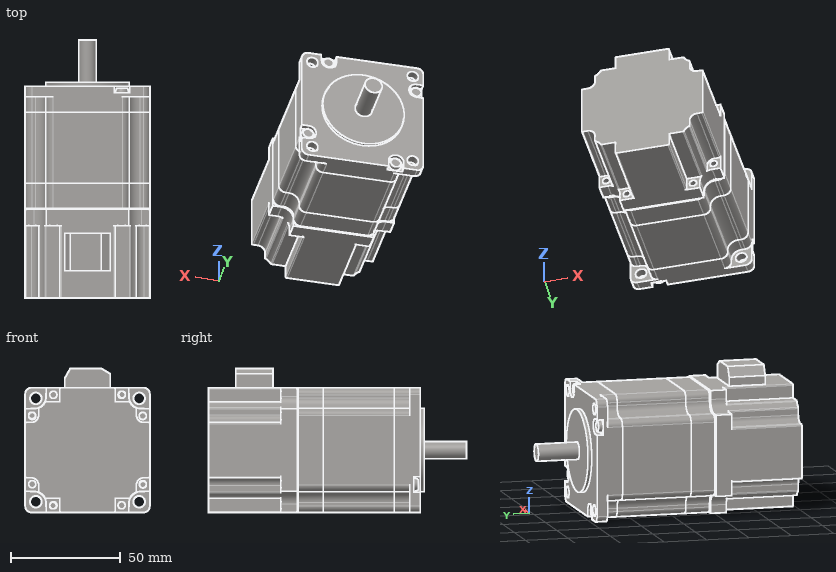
import cadquery as cq
import math


OVERALL_LENGTH = 117.7
HALF_WIDTH = 28.5
CORNER_RADIUS = 3.1
CUT_MARGIN = 2.4

SHAFT_TIP_Y = 21.1
PILOT_Y = 1.8
PLATE_REAR_Y = -5.0
FRONT_CAP_REAR_Y = -12.0
STACK_REAR_Y = -44.4
REAR_CAP_REAR_Y = -56.1
COVER_STEP_Y = -63.5
COVER_REAR_Y = SHAFT_TIP_Y - OVERALL_LENGTH

SHAFT_RADIUS = 4.0
PILOT_RADIUS = 19.1
MOUNT_HOLE_OFFSET = 23.5
MOUNT_HOLE_RADIUS = 2.6

RELIEF_WALL = 19.0
RELIEF_ROUND = 3.2
RELIEF_COVE_RADIUS = 4.8
REAR_CAP_CHAMFER = 0.6

SCREW_ALONG = RELIEF_WALL - RELIEF_ROUND
SCREW_OUT = HALF_WIDTH - RELIEF_ROUND
SCREW_COUNT = 4
SCREW_RADIUS = 1.5
SCREW_HEAD_RADIUS = 3.0
SCREW_HEAD_HEIGHT = 2.0
SCREW_FACE_RADIUS = 2.4
SCREW_DOME_RADIUS = 3.5
SCREW_SLOT_RADIUS = 3.5
SCREW_SLOT_DEPTH = 3.0

COVER_WALL = 18.8
COVER_COVE_RADIUS = 5.6
POCKET_INNER = 12.6
TOP_POCKET_FLOOR = 22.0
SIDE_POCKET_WALL = 22.2
SIDE_POCKET_ROUND = 3.4
COVER_EDGE_ROUND = 0.6
COVER_HOLE_ALONG = 15.5
COVER_HOLE_OUT = 25.2
COVER_HOLE_RADIUS = 1.6

CONNECTOR_HALF_WIDTH = 10.5
CONNECTOR_TOP_Z = 37.2
CONNECTOR_FRONT_Y = -67.1
CONNECTOR_REAR_Y = -84.2
CONNECTOR_LEFT_SHOULDER_Z = 32.6
CONNECTOR_LEFT_TOP_X = -7.9
CONNECTOR_RIGHT_SHOULDER_Z = 34.7
CONNECTOR_RIGHT_TOP_X = 6.4


def section(front_y):
    """Sketch plane across the shaft at front_y: local x is X, local y is Z, extruding to -Y."""
    return cq.Workplane("XZ", origin=(0, front_y, 0))


def block(front_y, rear_y):
    """Full square section between two positions along Y."""
    width = 2 * HALF_WIDTH
    return section(front_y).rect(width, width).extrude(front_y - rear_y)


def cylinder(radius, front_y, rear_y, x=0, z=0):
    """Round bar parallel to the shaft."""
    return section(front_y).center(x, z).circle(radius).extrude(front_y - rear_y)


def cut_all(body, cutters):
    for cutter in cutters:
        body = body.cut(cutter)
    return body


def in_four_corners(shape):
    """The shape in the +X +Z corner and its mirror images in the other three."""
    right_pair = [shape, shape.mirror("XY")]
    return right_pair + [half.mirror("YZ") for half in right_pair]


def in_four_turns(shape):
    """The shape repeated every quarter turn about the shaft."""
    return [shape.rotate((0, 0, 0), (0, 1, 0), turn * 360 / SCREW_COUNT) for turn in range(SCREW_COUNT)]


def motor_reliefs(front_y, rear_y):
    """Corner cut-aways of the motor: a cove between two convex roundings."""
    cove_centre = RELIEF_WALL + RELIEF_COVE_RADIUS
    round_mid = RELIEF_ROUND * math.sqrt(0.5)
    cove_mid = cove_centre - RELIEF_COVE_RADIUS * math.sqrt(0.5)
    outside = HALF_WIDTH + CUT_MARGIN
    relief = (
        section(front_y)
        .moveTo(SCREW_ALONG, HALF_WIDTH)
        .threePointArc((SCREW_ALONG + round_mid, SCREW_OUT + round_mid), (RELIEF_WALL, SCREW_OUT))
        .lineTo(RELIEF_WALL, cove_centre)
        .threePointArc((cove_mid, cove_mid), (cove_centre, RELIEF_WALL))
        .lineTo(SCREW_OUT, RELIEF_WALL)
        .threePointArc((SCREW_OUT + round_mid, SCREW_ALONG + round_mid), (HALF_WIDTH, SCREW_ALONG))
        .lineTo(outside, SCREW_ALONG)
        .lineTo(outside, outside)
        .lineTo(SCREW_ALONG, outside)
        .close()
        .extrude(front_y - rear_y)
    )
    return in_four_corners(relief)


def screw_bores():
    """Holes for the screw shanks through the whole motor."""
    return in_four_turns(cylinder(SCREW_RADIUS, 0, REAR_CAP_REAR_Y, SCREW_ALONG, SCREW_OUT))


def screw_slots():
    """Round-bottomed recesses for the screw heads, open to the front and to one side."""
    slot = cylinder(SCREW_SLOT_RADIUS, 0, -SCREW_SLOT_DEPTH, SCREW_ALONG, SCREW_OUT).union(
        section(0)
        .center(SCREW_ALONG, SCREW_OUT + HALF_WIDTH / 2)
        .rect(2 * SCREW_SLOT_RADIUS, HALF_WIDTH)
        .extrude(SCREW_SLOT_DEPTH)
    )
    return in_four_turns(slot)


def make_front_cap():
    """Front cap with the mounting plate, centring pilot and shaft bore."""
    cap = block(0, FRONT_CAP_REAR_Y).edges("|Y").fillet(CORNER_RADIUS)
    cap = cut_all(cap, motor_reliefs(PLATE_REAR_Y, FRONT_CAP_REAR_Y))
    cap = cap.union(cylinder(PILOT_RADIUS, PILOT_Y, PLATE_REAR_Y))
    mount_hole = cylinder(MOUNT_HOLE_RADIUS, 0, PLATE_REAR_Y, MOUNT_HOLE_OFFSET, MOUNT_HOLE_OFFSET)
    cap = cut_all(cap, in_four_corners(mount_hole))
    cap = cut_all(cap, screw_slots() + screw_bores())
    return cap.cut(cylinder(SHAFT_RADIUS, PILOT_Y, FRONT_CAP_REAR_Y))


def make_stack_with_shaft():
    """Lamination stack, in one piece with the shaft that runs out through the front cap."""
    stack = block(FRONT_CAP_REAR_Y, STACK_REAR_Y)
    stack = cut_all(stack, motor_reliefs(FRONT_CAP_REAR_Y, STACK_REAR_Y) + screw_bores())
    return stack.union(cylinder(SHAFT_RADIUS, SHAFT_TIP_Y, STACK_REAR_Y))


def make_rear_cap():
    """Rear cap, chamfered where it meets the cover."""
    cap = block(STACK_REAR_Y, REAR_CAP_REAR_Y)
    cap = cut_all(cap, motor_reliefs(STACK_REAR_Y, REAR_CAP_REAR_Y))
    cap = cap.faces("<Y").chamfer(REAR_CAP_CHAMFER)
    return cut_all(cap, screw_bores())


def make_screws():
    """Four screws reaching from the front slots to the back of the rear cap."""
    seat_y = -SCREW_SLOT_DEPTH
    face_y = seat_y + SCREW_HEAD_HEIGHT
    head = (
        cq.Workplane("XY", origin=(SCREW_ALONG, 0, SCREW_OUT))
        .moveTo(0, seat_y)
        .lineTo(SCREW_HEAD_RADIUS, seat_y)
        .radiusArc((SCREW_FACE_RADIUS, face_y), -SCREW_DOME_RADIUS)
        .lineTo(0, face_y)
        .close()
        .revolve(360, (0, 0, 0), (0, 1, 0))
    )
    shank = cylinder(SCREW_RADIUS, seat_y, REAR_CAP_REAR_Y, SCREW_ALONG, SCREW_OUT)
    return in_four_turns(head.union(shank))


def cover_coves():
    """Corner cut-aways along the whole cover: two flat walls joined by a cove."""
    size = HALF_WIDTH + CUT_MARGIN - COVER_WALL
    middle = COVER_WALL + size / 2
    cove = (
        section(REAR_CAP_REAR_Y)
        .center(middle, middle)
        .rect(size, size)
        .extrude(REAR_CAP_REAR_Y - COVER_REAR_Y)
        .edges("|Y and <X and <Z")
        .fillet(COVER_COVE_RADIUS)
    )
    return in_four_corners(cove)


def box_between(x_range, z_range, front_y, rear_y):
    """Box bounded by a range of X, a range of Z and two positions along Y."""
    width = x_range[1] - x_range[0]
    height = z_range[1] - z_range[0]
    return (
        section(front_y)
        .center(sum(x_range) / 2, sum(z_range) / 2)
        .rect(width, height)
        .extrude(front_y - rear_y)
    )


def cover_pockets():
    """Pockets behind the cover screw holes, two at each corner."""
    outside = HALF_WIDTH + CUT_MARGIN
    cove_centre = COVER_WALL + COVER_COVE_RADIUS
    pocket_range = (POCKET_INNER, cove_centre)
    top = box_between(pocket_range, (TOP_POCKET_FLOOR, outside), COVER_STEP_Y, COVER_REAR_Y)
    side = box_between((SIDE_POCKET_WALL, outside), pocket_range, COVER_STEP_Y, COVER_REAR_Y)
    side = side.edges("|Y and <X and <Z").fillet(SIDE_POCKET_ROUND)
    return in_four_corners(top) + in_four_corners(side)


def round_pocket_edges(tail):
    """Round the outward lengthwise edges left by the pockets."""
    cove_centre = COVER_WALL + COVER_COVE_RADIUS
    top_lip_x = cove_centre - math.sqrt(COVER_COVE_RADIUS**2 - (cove_centre - TOP_POCKET_FLOOR) ** 2)
    side_lip_z = cove_centre - math.sqrt(COVER_COVE_RADIUS**2 - (cove_centre - SIDE_POCKET_WALL) ** 2)
    rounded_points = [
        (POCKET_INNER, HALF_WIDTH),
        (top_lip_x, TOP_POCKET_FLOOR),
        (SIDE_POCKET_WALL, side_lip_z),
        (HALF_WIDTH, POCKET_INNER),
    ]
    tolerance = 0.01

    def is_rounded(edge):
        centre = edge.Center()
        place = (abs(centre.x), abs(centre.z))
        return any(math.dist(place, point) < tolerance for point in rounded_points)

    return tail.edges("|Y").filter(is_rounded).fillet(COVER_EDGE_ROUND)


def connector_block():
    """Cable connector with two sloping shoulders, part of the cover."""
    return (
        section(CONNECTOR_FRONT_Y)
        .moveTo(-CONNECTOR_HALF_WIDTH, HALF_WIDTH)
        .lineTo(-CONNECTOR_HALF_WIDTH, CONNECTOR_LEFT_SHOULDER_Z)
        .lineTo(CONNECTOR_LEFT_TOP_X, CONNECTOR_TOP_Z)
        .lineTo(CONNECTOR_RIGHT_TOP_X, CONNECTOR_TOP_Z)
        .lineTo(CONNECTOR_HALF_WIDTH, CONNECTOR_RIGHT_SHOULDER_Z)
        .lineTo(CONNECTOR_HALF_WIDTH, HALF_WIDTH)
        .close()
        .extrude(CONNECTOR_FRONT_Y - CONNECTOR_REAR_Y)
    )


def make_cover():
    """Encoder cover with its screw lugs at the front and the connector on top."""
    lugs = cut_all(block(REAR_CAP_REAR_Y, COVER_STEP_Y), cover_coves())
    for x, z in [(COVER_HOLE_ALONG, COVER_HOLE_OUT), (COVER_HOLE_OUT, COVER_HOLE_ALONG)]:
        hole = cylinder(COVER_HOLE_RADIUS, REAR_CAP_REAR_Y, COVER_STEP_Y, x, z)
        lugs = cut_all(lugs, in_four_corners(hole))
    tail = cut_all(block(COVER_STEP_Y, COVER_REAR_Y), cover_coves() + cover_pockets())
    return lugs.union(round_pocket_edges(tail)).union(connector_block())


front_cap = make_front_cap()
stack_with_shaft = make_stack_with_shaft()
rear_cap = make_rear_cap()
cover = make_cover()
screws = make_screws()

result = cq.Compound.makeCompound(
    [
        front_cap.val(),
        stack_with_shaft.val(),
        rear_cap.val(),
        cover.val(),
        *[screw.val() for screw in screws],
    ]
)